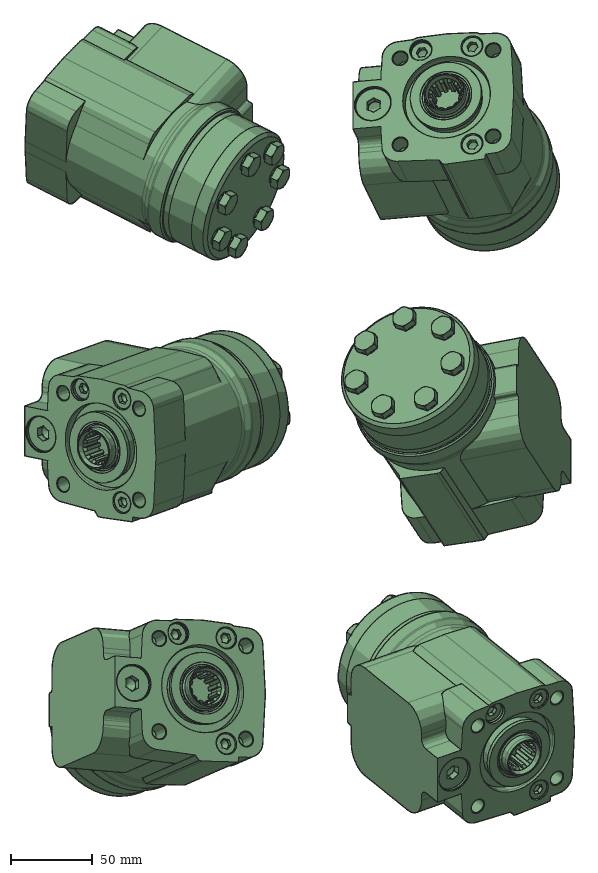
import cadquery as cq
import math


TOTAL_LENGTH = 149.3
TOTAL_WIDTH = 103.5
FLANGE_D = 90.0
FLANGE_R = FLANGE_D / 2

SHAFT_TIP_X = -7.8
BARREL_END_X = 86.9
BLEND_END_X = 89.4
CONE_END_X = 92.8
FLANGE_START_X = 93.9
HOUSING_STEP_X = 103.6
GEAR_SET_X = 107.5
COVER_X = 124.2
COVER_END_X = 135.0
BOLT_END_X = TOTAL_LENGTH + SHAFT_TIP_X

BARREL_D = 83.7
BARREL_R = BARREL_D / 2
STACK_D = 86.0
STACK_R = STACK_D / 2
CONE_ANGLE = 30.0
FLANGE_CHAMFER = 1.0
COVER_CHAMFER = 2.1

HEAD_LENGTH = 30.3
HEAD_CORNER = 39.7
HEAD_CORNER_R = 10.2
RIB_LENGTH = 80.5

PORT_FACE_Y = TOTAL_WIDTH - FLANGE_R
PORT_HALF_HEIGHT = 38.8
PORT_CORNER_R = 15.0
PORT_START_X = 17.8
PORT_END_X = 95.4
TONGUE_HALF_HEIGHT = 15.8
TONGUE_BLEND_R = 5.1
NOSE_END_X = 99.7
NOSE_HALF_HEIGHT = 10.6
NOSE_BLEND_R = 2.0
NOSE_ROUND_R = 1.3

RECESS_D = 54.6
RECESS_DEPTH = 6.0
RECESS_RIM_WIDTH = 0.5
RECESS_RIM_DEPTH = 1.5
RING_D = 44.3
RING_HEIGHT = 2.5
RING_MOUTH_D = 32.2
RING_BORE_D = 29.5
RING_MOUTH_DEPTH = 0.5
RING_NECK_D = 42.1
GROOVE_DEPTH = 1.8
SHAFT_FOOT_D = 27.5
SHAFT_D = 25.4
SHAFT_TIP_D = 24.6
SHAFT_TIP_CHAMFER = 2.1
SHAFT_MOUTH_D = 23.0
SHAFT_MOUTH_DEPTH = 3.0
SPLINE_COUNT = 12
SPLINE_ROOT_D = 20.6
SPLINE_TIP_D = 17.0
SPLINE_ROOT_WIDTH = 3.1
SPLINE_TIP_WIDTH = 2.1
SPLINE_DEPTH = 17.9

DRILL_POINT_ANGLE = 118.0
MOUNT_OFFSET = 29.0
MOUNT_HOLE_D = 9.0
MOUNT_MOUTH_D = 9.9
MOUNT_HOLE_DEPTH = 15.0
PORT_PLUG_Y = 46.0
PORT_PLUG_MOUTH_D = 23.0
PORT_PLUG_BORE_D = 22.0
PORT_PLUG_DEPTH = 2.1
PORT_PLUG_HEX = 8.4
PORT_PLUG_HEX_DEPTH = 4.5
SCREW_MOUTH_D = 13.7
SCREW_HEX = 6.0
SCREW_HEX_DEPTH = 3.0
SHALLOW_SCREW_BORE_D = 12.5
SHALLOW_SCREW_DEPTH = 0.9
SHALLOW_SCREW_TURN = 10.0
SHALLOW_SCREWS = [(-15.8, 32.8), (-15.8, -32.8)]
DEEP_SCREW = (16.1, 33.3)
DEEP_SCREW_BORE_D = 13.0
DEEP_SCREW_MOUTH_DEPTH = 1.8
DEEP_SCREW_DEPTH = 3.6

BOLT_COUNT = 7
BOLT_CIRCLE_R = 32.0
BOLT_NECK_D = 12.0
BOLT_NECK_LENGTH = 1.2
BOLT_HEX = 13.0
BOLT_HEAD_CHAMFER = 0.7


def hex_corner_d(across_flats):
    """Diameter over the corners of a hexagon."""
    return across_flats / math.cos(math.radians(30))


def turned(points):
    """Solid of revolution about the X axis from (x, radius) points."""
    return cq.Workplane("XY").polyline(points).close().revolve(360, (0, 0, 0), (1, 0, 0))


def bar_along_x(outline, length):
    """Prism from X = 0 with a closed outline of (y, z) points."""
    return cq.Workplane("YZ").polyline(outline).close().extrude(length)


def hex_socket(across_flats, start_x, depth, turn):
    """Hexagon socket cutter on the X axis with a drill point at its end; turn is in degrees."""
    end_x = start_x + depth
    radius = across_flats / 2
    point_length = radius / math.tan(math.radians(DRILL_POINT_ANGLE / 2))
    prism = cq.Workplane("YZ", origin=(start_x, 0, 0)).polygon(6, hex_corner_d(across_flats)).extrude(depth)
    point = turned([(end_x, 0), (end_x, radius), (end_x + point_length, 0)])
    return prism.union(point).rotate((0, 0, 0), (1, 0, 0), turn)



def barrel():
    """Turned body: a cylinder that flares through a cone into the rear flange."""
    half_turn = math.tan(math.radians(CONE_ANGLE / 2))
    blend_rise = (BLEND_END_X - BARREL_END_X) * half_turn
    cone_drop = (FLANGE_START_X - CONE_END_X) * half_turn
    return (
        cq.Workplane("XY")
        .moveTo(0, 0)
        .lineTo(0, BARREL_R)
        .lineTo(BARREL_END_X, BARREL_R)
        .tangentArcPoint((BLEND_END_X, BARREL_R + blend_rise), relative=False)
        .lineTo(CONE_END_X, FLANGE_R - cone_drop)
        .tangentArcPoint((FLANGE_START_X, FLANGE_R), relative=False)
        .lineTo(HOUSING_STEP_X - FLANGE_CHAMFER, FLANGE_R)
        .lineTo(HOUSING_STEP_X, FLANGE_R - FLANGE_CHAMFER)
        .lineTo(HOUSING_STEP_X, STACK_R)
        .lineTo(GEAR_SET_X, STACK_R)
        .lineTo(GEAR_SET_X, 0)
        .close()
        .revolve(360, (0, 0, 0), (1, 0, 0))
    )


def mounting_head():
    """Rounded square whose four sides rise slightly toward their middles."""
    outline = [
        (HEAD_CORNER, HEAD_CORNER), (0, BARREL_R),
        (-HEAD_CORNER, HEAD_CORNER), (-BARREL_R, 0),
        (-HEAD_CORNER, -HEAD_CORNER), (0, -BARREL_R),
        (HEAD_CORNER, -HEAD_CORNER), (BARREL_R, 0),
    ]
    head = bar_along_x(outline, HEAD_LENGTH)
    for side in (">(0, 1, 1)", ">(0, 1, -1)", ">(0, -1, 1)", ">(0, -1, -1)"):
        head = head.edges(side).fillet(HEAD_CORNER_R)
    return head


def top_rib():
    """Low roof along the barrel, with rounded shoulders and flat flanks on both sides."""
    ridge_z = 42.7
    edge_y, edge_z = 18.4, 41.8
    flank_y, flank_z = 25.1, 36.5
    foot_y, foot_z = 31.0, 28.0
    bulge = 0.7
    return (
        cq.Workplane("YZ")
        .moveTo(-foot_y, foot_z)
        .lineTo(-flank_y, flank_z)
        .sagittaArc((-edge_y, edge_z), bulge)
        .lineTo(0, ridge_z)
        .lineTo(edge_y, edge_z)
        .sagittaArc((flank_y, flank_z), bulge)
        .lineTo(foot_y, foot_z)
        .close()
        .extrude(RIB_LENGTH)
    )


def bottom_rib():
    """Rib with a sloping web that meets the barrel tangentially on the -Y side."""
    web_angle = math.radians(31)
    web_start = (-BARREL_R * math.cos(web_angle), -BARREL_R * math.sin(web_angle))
    web_length = 22.4
    web_end = (
        web_start[0] + web_length * math.sin(web_angle),
        web_start[1] - web_length * math.cos(web_angle),
    )
    blend_z = -41.8
    side_y = -24.0
    round_r = 0.9
    bottom_z = -43.7
    ridge_z = -45.0
    toe_y, toe_z = 2.4, -44.8
    heel_y, heel_z = 5.0, -41.5
    return (
        cq.Workplane("YZ")
        .moveTo(*web_start)
        .lineTo(*web_end)
        .tangentArcPoint((side_y, blend_z), relative=False)
        .lineTo(side_y, bottom_z + round_r)
        .tangentArcPoint((side_y + round_r, bottom_z), relative=False)
        .lineTo(0, ridge_z)
        .lineTo(toe_y, toe_z)
        .lineTo(heel_y, heel_z)
        .lineTo(0, -BARREL_R / 2)
        .close()
        .extrude(RIB_LENGTH)
    )


def port_block():
    """Block with a narrow tongue reaching the mounting face and a short nose at the rear."""
    shoulder_z = PORT_HALF_HEIGHT - PORT_CORNER_R
    tongue_x = PORT_START_X - TONGUE_BLEND_R
    nose_start_x = PORT_END_X + NOSE_BLEND_R
    half = (
        cq.Workplane("XZ")
        .moveTo(0, 0)
        .lineTo(0, TONGUE_HALF_HEIGHT)
        .lineTo(tongue_x, TONGUE_HALF_HEIGHT)
        .tangentArcPoint((PORT_START_X, TONGUE_HALF_HEIGHT + TONGUE_BLEND_R), relative=False)
        .lineTo(PORT_START_X, shoulder_z)
        .tangentArcPoint((PORT_START_X + PORT_CORNER_R, PORT_HALF_HEIGHT), relative=False)
        .lineTo(PORT_END_X - PORT_CORNER_R, PORT_HALF_HEIGHT)
        .tangentArcPoint((PORT_END_X, shoulder_z), relative=False)
        .lineTo(PORT_END_X, NOSE_HALF_HEIGHT + NOSE_BLEND_R)
        .tangentArcPoint((nose_start_x, NOSE_HALF_HEIGHT), relative=False)
        .lineTo(NOSE_END_X - NOSE_ROUND_R, NOSE_HALF_HEIGHT)
        .tangentArcPoint((NOSE_END_X, NOSE_HALF_HEIGHT - NOSE_ROUND_R), relative=False)
        .lineTo(NOSE_END_X, 0)
        .close()
        .extrude(-PORT_FACE_Y)
    )
    return half.union(half.mirror("XY"))


def shaft_recess():
    """Round recess with a tapered rim in the mounting face."""
    radius = RECESS_D / 2
    inner_r = radius - RECESS_RIM_WIDTH
    return turned(
        [(0, 0), (0, radius), (RECESS_RIM_DEPTH, inner_r), (RECESS_DEPTH, inner_r), (RECESS_DEPTH, 0)]
    )


def seal_ring():
    """Necked ring on the recess floor, with a stepped groove and a cone around the shaft."""
    groove_x = GROOVE_DEPTH - RING_HEIGHT
    mouth_x = RING_MOUTH_DEPTH - RING_HEIGHT
    cone_height = (SHAFT_FOOT_D - SHAFT_D) / 2
    return turned([
        (RECESS_DEPTH, 0),
        (groove_x - cone_height, 0),
        (groove_x - cone_height, SHAFT_D / 2),
        (groove_x, SHAFT_FOOT_D / 2),
        (groove_x, RING_BORE_D / 2),
        (mouth_x, RING_BORE_D / 2),
        (mouth_x, RING_MOUTH_D / 2),
        (-RING_HEIGHT, RING_MOUTH_D / 2),
        (-RING_HEIGHT, RING_D / 2),
        (0, RING_D / 2),
        (0, RING_NECK_D / 2),
        (RECESS_DEPTH, RING_NECK_D / 2),
    ])


def shaft_end():
    """Solid shaft end with a tapered tip."""
    return turned([
        (RECESS_DEPTH, 0),
        (RECESS_DEPTH, SHAFT_D / 2),
        (SHAFT_TIP_X + SHAFT_TIP_CHAMFER, SHAFT_D / 2),
        (SHAFT_TIP_X, SHAFT_TIP_D / 2),
        (SHAFT_TIP_X, 0),
    ])


def splined_bore():
    """Cutter for the shaft bore: a tapered mouth, then a bore with inward teeth."""
    spline_x = SHAFT_TIP_X + SHAFT_MOUTH_DEPTH
    end_x = SHAFT_TIP_X + SPLINE_DEPTH
    root_r = SPLINE_ROOT_D / 2
    bore = turned([
        (SHAFT_TIP_X, 0),
        (SHAFT_TIP_X, SHAFT_MOUTH_D / 2),
        (spline_x, root_r),
        (end_x, root_r),
        (end_x, 0),
    ])
    tooth = (
        cq.Workplane("YZ", origin=(spline_x, 0, 0))
        .moveTo(-SPLINE_TIP_WIDTH / 2, SPLINE_TIP_D / 2)
        .lineTo(SPLINE_TIP_WIDTH / 2, SPLINE_TIP_D / 2)
        .lineTo(SPLINE_ROOT_WIDTH / 2, SHAFT_MOUTH_D / 2)
        .lineTo(-SPLINE_ROOT_WIDTH / 2, SHAFT_MOUTH_D / 2)
        .close()
        .extrude(end_x - spline_x)
    )
    lead_in = turned([(spline_x, 0), (spline_x, root_r), (spline_x + root_r, 0)])
    tooth = tooth.cut(lead_in)
    pitch = 360 / SPLINE_COUNT
    for i in range(SPLINE_COUNT):
        bore = bore.cut(tooth.rotate((0, 0, 0), (1, 0, 0), (i + 0.5) * pitch))
    return bore


def mounting_hole():
    """Cutter for a blind drilled hole with a chamfered mouth."""
    radius = MOUNT_HOLE_D / 2
    mouth_r = MOUNT_MOUTH_D / 2
    point_length = radius / math.tan(math.radians(DRILL_POINT_ANGLE / 2))
    return turned([
        (0, 0),
        (0, mouth_r),
        (mouth_r - radius, radius),
        (MOUNT_HOLE_DEPTH, radius),
        (MOUNT_HOLE_DEPTH + point_length, 0),
    ])


def plug_seat(mouth_d, bore_d, depth):
    """Cutter for a sunk plug face with a chamfered rim."""
    chamfer = (mouth_d - bore_d) / 2
    return turned([(0, 0), (0, mouth_d / 2), (chamfer, bore_d / 2), (depth, bore_d / 2), (depth, 0)])


def port_plug():
    """Cutter for the large sunk plug and its hexagon socket."""
    seat = plug_seat(PORT_PLUG_MOUTH_D, PORT_PLUG_BORE_D, PORT_PLUG_DEPTH)
    return seat.union(hex_socket(PORT_PLUG_HEX, PORT_PLUG_DEPTH, PORT_PLUG_HEX_DEPTH, 90))


def shallow_screw():
    """Cutter for a screw sunk just below the mounting face."""
    seat = plug_seat(SCREW_MOUTH_D, SHALLOW_SCREW_BORE_D, SHALLOW_SCREW_DEPTH)
    return seat.union(hex_socket(SCREW_HEX, SHALLOW_SCREW_DEPTH, SCREW_HEX_DEPTH, SHALLOW_SCREW_TURN))


def deep_screw():
    """Cutter for a screw at the bottom of a stepped seat."""
    seat = turned([
        (0, 0),
        (0, SCREW_MOUTH_D / 2),
        (DEEP_SCREW_MOUTH_DEPTH, SCREW_MOUTH_D / 2),
        (DEEP_SCREW_MOUTH_DEPTH, DEEP_SCREW_BORE_D / 2),
        (DEEP_SCREW_DEPTH, DEEP_SCREW_BORE_D / 2),
        (DEEP_SCREW_DEPTH, 0),
    ])
    return seat.union(hex_socket(SCREW_HEX, DEEP_SCREW_DEPTH, SCREW_HEX_DEPTH, 0))


def make_housing():
    """Housing with the shaft end, seal ring, plugs and screws as parts of one solid."""
    housing = barrel().union(mounting_head()).union(top_rib()).union(bottom_rib()).union(port_block())
    housing = housing.cut(shaft_recess())
    housing = housing.union(seal_ring()).union(shaft_end()).cut(splined_bore())
    for y in (-MOUNT_OFFSET, MOUNT_OFFSET):
        for z in (-MOUNT_OFFSET, MOUNT_OFFSET):
            housing = housing.cut(mounting_hole().translate((0, y, z)))
    housing = housing.cut(port_plug().translate((0, PORT_PLUG_Y, 0)))
    housing = housing.cut(deep_screw().translate((0, *DEEP_SCREW)))
    for y, z in SHALLOW_SCREWS:
        housing = housing.cut(shallow_screw().translate((0, y, z)))
    return housing



def make_gear_set():
    """Plain disc clamped between the housing and the cover."""
    return cq.Workplane("YZ", origin=(GEAR_SET_X, 0, 0)).circle(STACK_R).extrude(COVER_X - GEAR_SET_X)



def cover_bolt():
    """Bolt neck and hexagon head on the X axis, with a corner of the head pointing up."""
    head_x = COVER_END_X + BOLT_NECK_LENGTH
    head_length = BOLT_END_X - head_x
    corner_d = hex_corner_d(BOLT_HEX)
    neck = cq.Workplane("YZ", origin=(COVER_END_X, 0, 0)).circle(BOLT_NECK_D / 2).extrude(BOLT_NECK_LENGTH)
    head_plane = cq.Workplane("YZ", origin=(head_x, 0, 0))
    head = head_plane.polygon(6, corner_d).extrude(head_length).rotate((0, 0, 0), (1, 0, 0), 90)
    crown = head_plane.circle(corner_d / 2).extrude(head_length).faces(">X").chamfer(BOLT_HEAD_CHAMFER)
    return neck.union(head.intersect(crown))


def make_cover():
    """Chamfered end disc carrying a ring of bolts, all in one solid."""
    disc = cq.Workplane("YZ", origin=(COVER_X, 0, 0)).circle(STACK_R).extrude(COVER_END_X - COVER_X)
    cover = disc.faces(">X").chamfer(COVER_CHAMFER)
    for i in range(BOLT_COUNT):
        angle = math.radians(90 + i * 360 / BOLT_COUNT)
        place = (0, BOLT_CIRCLE_R * math.cos(angle), BOLT_CIRCLE_R * math.sin(angle))
        cover = cover.union(cover_bolt().translate(place))
    return cover


housing = make_housing()
gear_set = make_gear_set()
cover = make_cover()

result = cq.Compound.makeCompound([housing.val(), gear_set.val(), cover.val()])